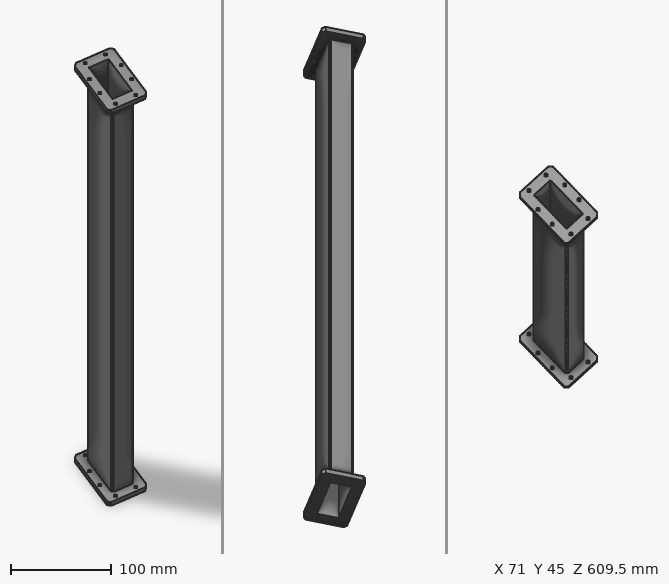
import cadquery as cq

length = 609.5
flange_width = 71.0
flange_depth = 45.0

flange_thickness = 6.0
flange_corner_chamfer = 3.0

tube_width = 50.5
tube_depth = 25.5
tube_corner_chamfer = 2.2
wall = 1.65
bore_width = tube_width - 2 * wall
bore_depth = tube_depth - 2 * wall

hole_diameter = 3.35
long_side_hole_x = 10.5
long_side_hole_y = 18.0
short_side_hole_x = 30.5
short_side_hole_y = 11.5


def upright_block(width, depth, height):
    """Box centred on the Z axis, standing on the XY plane."""
    return cq.Workplane("XY").rect(width, depth).extrude(height)


def bolt_positions():
    """Hole centres, mirrored into all four quadrants."""
    quadrant_holes = [
        (long_side_hole_x, long_side_hole_y),
        (short_side_hole_x, short_side_hole_y),
    ]
    return [
        (x_sign * x, y_sign * y)
        for x, y in quadrant_holes
        for x_sign in (-1, 1)
        for y_sign in (-1, 1)
    ]


def make_flange():
    """Plate with chamfered corners, drilled through with the bolt holes."""
    plate = upright_block(flange_width, flange_depth, flange_thickness)
    plate = plate.edges("|Z").chamfer(flange_corner_chamfer)
    return plate.faces(">Z").workplane().pushPoints(bolt_positions()).hole(hole_diameter)


def make_tube():
    """Solid tube body with its four long edges chamfered."""
    return upright_block(tube_width, tube_depth, length).edges("|Z").chamfer(tube_corner_chamfer)


flange = make_flange()
body = make_tube().union(flange)
body = body.union(flange.translate((0, 0, length - flange_thickness)))

result = body.cut(upright_block(bore_width, bore_depth, length)).clean()